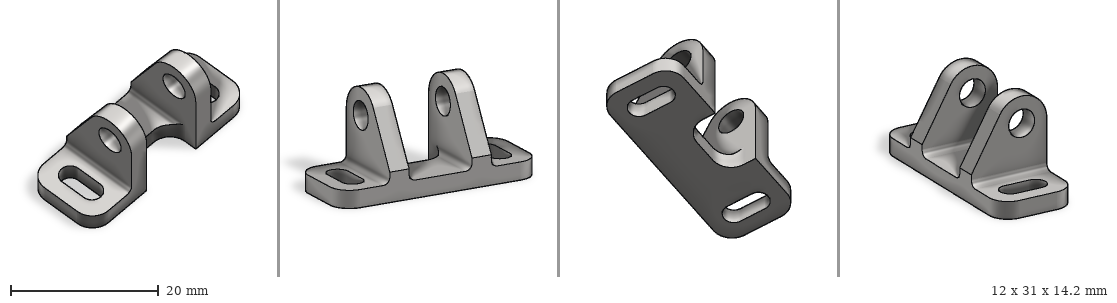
import cadquery as cq
import math

width = 12.0
length = 31.0
base_thickness = 2.6
corner_radius = 3.0

slot_length = 7.2
slot_width = 3.2
slot_end_distance = 4.0

lug_thickness = 3.0
lug_gap = 9.8
lug_radius = 4.0
hole_diameter = 4.1
height = 14.2
slope_angle = 60.0
root_fillet = 1.0

relief_depth = 5.0
relief_radius = 3.0

left = -width / 2
right = width / 2
hole_x = right - lug_radius
hole_z = height - lug_radius
lug_center_y = (lug_gap + lug_thickness) / 2


def make_base():
    slot_y = length / 2 - slot_end_distance
    return (
        cq.Workplane("XY")
        .box(width, length, base_thickness, centered=(True, True, False))
        .edges("|Z")
        .fillet(corner_radius)
        .faces(">Z")
        .workplane(origin=(0, 0, base_thickness))
        .pushPoints([(0, slot_y), (0, -slot_y)])
        .slot2D(slot_length, slot_width)
        .cutThruAll()
    )


def make_lug(center_y):
    slope = math.radians(slope_angle)
    tangent_x = hole_x - lug_radius * math.sin(slope)
    tangent_z = hole_z + lug_radius * math.cos(slope)
    slope_start_z = tangent_z - (tangent_x - left) * math.tan(slope)
    return (
        cq.Workplane("XZ", origin=(0, center_y, 0))
        .moveTo(left, 0)
        .lineTo(right, 0)
        .lineTo(right, hole_z)
        .threePointArc((hole_x, height), (tangent_x, tangent_z))
        .lineTo(left, slope_start_z)
        .close()
        .moveTo(hole_x, hole_z)
        .circle(hole_diameter / 2)
        .extrude(lug_thickness / 2, both=True)
    )


def make_root_fillet(face_y, side):
    """Concave fillet along X at a lug face; side is the Y direction away from the lug."""
    outer_y = face_y + side * root_fillet
    top_z = base_thickness + root_fillet
    arc_offset = root_fillet * math.sqrt(0.5)
    return (
        cq.Workplane("YZ", origin=(left, 0, 0))
        .moveTo(face_y, 0)
        .lineTo(outer_y, 0)
        .lineTo(outer_y, base_thickness)
        .threePointArc((outer_y - side * arc_offset, top_z - arc_offset), (face_y, top_z))
        .close()
        .extrude(width)
    )


def make_relief():
    return (
        cq.Workplane("XY")
        .box(2 * relief_depth, lug_gap, height, centered=(True, True, False))
        .edges("|Z and <X")
        .fillet(relief_radius)
        .translate((right, 0, 0))
    )


result = make_base()
for lug_y in (-lug_center_y, lug_center_y):
    result = result.union(make_lug(lug_y))
    for side in (-1, 1):
        result = result.union(make_root_fillet(lug_y + side * lug_thickness / 2, side))
result = result.cut(make_relief())